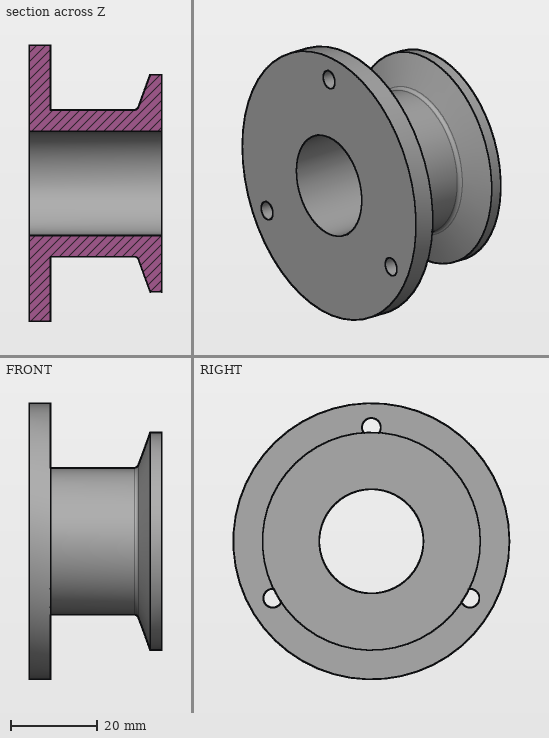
import cadquery as cq
import math

total_length = 30.8
flange_radius = 32.0
flange_thickness = 5.0
tube_radius = 17.0
bore_radius = 12.0
rim_radius = 25.2
rim_thickness = 2.75
cone_angle = 20.0
root_fillet = 1.0
bolt_hole_diameter = 4.3
bolt_circle_radius = 26.4
bolt_count = 3

rim_start = total_length - rim_thickness
cone_start = rim_start - (rim_radius - tube_radius) * math.tan(math.radians(cone_angle))

tangent_length = root_fillet * math.tan(math.radians(90 - cone_angle) / 2)
fillet_start = cone_start - tangent_length
fillet_end = (
    cone_start + tangent_length * math.sin(math.radians(cone_angle)),
    tube_radius + tangent_length * math.cos(math.radians(cone_angle)),
)


def spool_body():
    """Bolted flange, tube and conical clamping rim with a through bore."""
    profile = (
        cq.Workplane("XY")
        .moveTo(0, bore_radius)
        .lineTo(0, flange_radius)
        .lineTo(flange_thickness, flange_radius)
        .lineTo(flange_thickness, tube_radius)
        .lineTo(fillet_start, tube_radius)
        .tangentArcPoint(fillet_end, relative=False)
        .lineTo(rim_start, rim_radius)
        .lineTo(total_length, rim_radius)
        .lineTo(total_length, bore_radius)
        .close()
    )
    return profile.revolve(360, (0, 0, 0), (1, 0, 0))


def bolt_holes():
    """Evenly spaced holes through the flange, the first one at the top (+Z)."""
    return (
        cq.Workplane("YZ")
        .polarArray(bolt_circle_radius, 90, 360, bolt_count)
        .circle(bolt_hole_diameter / 2)
        .extrude(flange_thickness)
    )


result = spool_body().cut(bolt_holes())